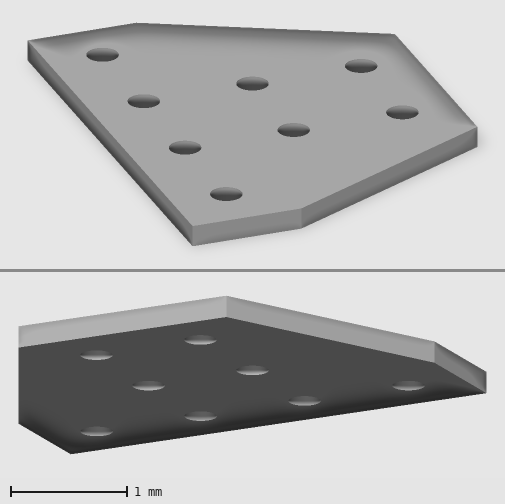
import cadquery as cq

pitch = 1.0
thickness = 0.19
hole_diameter = 0.28

length = 4 * pitch
depth = 3 * pitch
top_edge_length = 2 * pitch
side_edge_height = pitch

holes_per_row = [4, 2, 2]


def plate():
    """Flat plate with two sloping sides, symmetric about X = 0."""
    outline = [
        (-length / 2, 0),
        (length / 2, 0),
        (length / 2, side_edge_height),
        (top_edge_length / 2, depth),
        (-top_edge_length / 2, depth),
        (-length / 2, side_edge_height),
    ]
    return cq.Workplane("XY").polyline(outline).close().extrude(thickness)


def hole_centres():
    """Centres of the holes, each row centred on X = 0."""
    centres = []
    for row, count in enumerate(holes_per_row):
        y = (row + 0.5) * pitch
        for column in range(count):
            x = (column - (count - 1) / 2) * pitch
            centres.append((x, y))
    return centres


def hole_cutters():
    """Cylinders through the full thickness."""
    return (
        cq.Workplane("XY")
        .pushPoints(hole_centres())
        .circle(hole_diameter / 2)
        .extrude(thickness)
    )


result = plate().cut(hole_cutters())